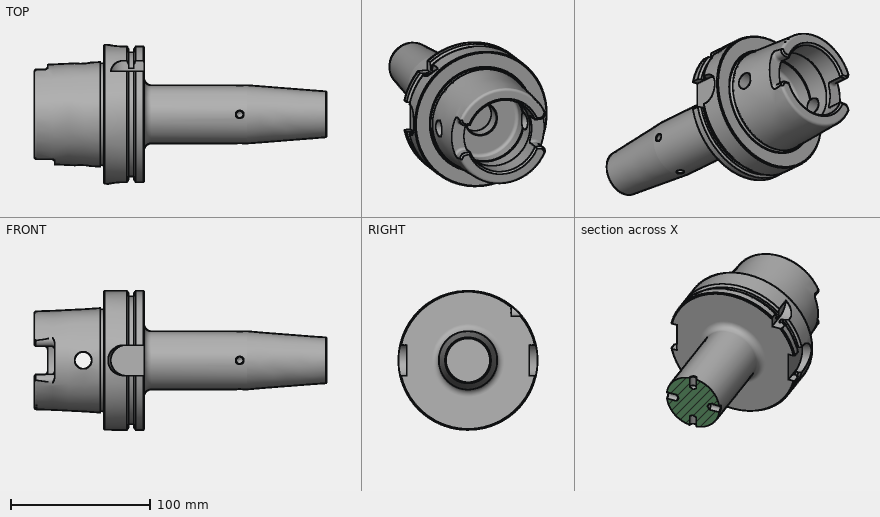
import cadquery as cq
import math


SHANK_LENGTH = 50.0
FLANGE_WIDTH = 29.0
NOSE_LENGTH = 160.0

GAUGE_RADIUS = 37.75
SHANK_TAPER = 0.05
SHANK_EDGE_RADIUS = 2.0
RELIEF_WIDTH = 2.5
RELIEF_RADIUS = 36.7
FACE_RECESS_RADIUS = 39.0
FACE_RECESS_DEPTH = 0.4
RELIEF_FILLET = 1.3

FLANGE_RADIUS = 50.0
FLANGE_CHAMFER = 0.8
GROOVE_CENTER = 19.7
GROOVE_FLOOR_WIDTH = 3.8
GROOVE_MOUTH_WIDTH = 6.4
GROOVE_RADIUS = 46.0
GROOVE_BEVEL_RADIUS = 48.0

BODY_RADIUS = 21.0
TIP_RADIUS = 16.5
TIP_TAPER_ANGLE = 4.5
TIP_CHAMFER = 0.8
ROOT_FILLET = 5.0

MOUTH_RADIUS = 26.5
MOUTH_CHAMFER = 1.5
CLAMP_EDGE_DEPTH = 18.6
CLAMP_ANGLE = 60.0
CLAMP_RADIUS = 28.2
CLAMP_END_DEPTH = 37.0
CLAMP_END_CHAMFER = 0.5
BORE_DEPTH = 50.0
BORE_FLOOR_FILLET = 2.5
COOLANT_RADIUS = 11.6
COOLANT_CHAMFER = 0.5
COOLANT_DEPTH = 62.0

SLOT_HALF_WIDTH = 10.0
SLOT_INNER_Y = 20.0
SLOT_OUTER_Y = 45.0
SLOT_LIP_RADIUS = 4.5
SLOT_LIP_CENTER_Y = 27.8
SLOT_LIP_LEAN = 28.0
SLOT_TOP_Z = 24.0
SLOT_FLOOR_FILLET = 2.0
SLOT_MOUTH_FLARE = 1.5
SLOT_MOUTH_LENGTH = 1.2
FRONT_SLOT_DEPTH = 14.7
REAR_SLOT_DEPTH = 9.6

CROSS_HOLE_RADIUS = 6.0
CROSS_HOLE_X = -14.8

KEYWAY_RADIUS = 11.0
KEYWAY_CENTER_X = 16.0
KEYWAY_FLOOR_Y = 44.0
KEYWAY_LEAN = 2.0

NOTCH_WALL_Y = 31.0
NOTCH_FLOOR_Z = 31.8
NOTCH_END_RADIUS = 10.0
NOTCH_END_X = 14.6

RADIAL_HOLE_X = 97.5
RADIAL_HOLE_RADIUS = 2.5
RADIAL_HOLE_DEPTH = 8.0
RADIAL_HOLE_COUNT = 4
RADIAL_HOLE_CHAMFER = 0.5
DRILL_HALF_ANGLE = 59.0

CLEARANCE = 5.0


def revolve_about_x(profile):
    return profile.close().revolve(360, (0, 0, 0), (1, 0, 0))


def make_body():
    shoulder_radius = GAUGE_RADIUS - SHANK_TAPER * (SHANK_LENGTH - SHANK_EDGE_RADIUS)
    relief_start_radius = GAUGE_RADIUS - SHANK_TAPER * RELIEF_WIDTH
    taper_length = (BODY_RADIUS - TIP_RADIUS) / math.tan(math.radians(TIP_TAPER_ANGLE))
    tip_edge_radius = TIP_RADIUS + TIP_CHAMFER * math.tan(math.radians(TIP_TAPER_ANGLE))
    half_floor = GROOVE_FLOOR_WIDTH / 2
    half_mouth = GROOVE_MOUTH_WIDTH / 2
    profile = (
        cq.Workplane("XY")
        .moveTo(-SHANK_LENGTH, 0)
        .lineTo(-SHANK_LENGTH, shoulder_radius - SHANK_EDGE_RADIUS)
        .radiusArc((-SHANK_LENGTH + SHANK_EDGE_RADIUS, shoulder_radius), SHANK_EDGE_RADIUS)
        .lineTo(-RELIEF_WIDTH, relief_start_radius)
        .lineTo(-RELIEF_WIDTH, RELIEF_RADIUS)
        .lineTo(FACE_RECESS_DEPTH - RELIEF_FILLET, RELIEF_RADIUS)
        .radiusArc((FACE_RECESS_DEPTH, RELIEF_RADIUS + RELIEF_FILLET), -RELIEF_FILLET)
        .lineTo(0, FACE_RECESS_RADIUS)
        .lineTo(0, FLANGE_RADIUS - FLANGE_CHAMFER)
        .lineTo(FLANGE_CHAMFER, FLANGE_RADIUS)
        .lineTo(GROOVE_CENTER - half_mouth, FLANGE_RADIUS)
        .lineTo(GROOVE_CENTER - half_floor, GROOVE_BEVEL_RADIUS)
        .lineTo(GROOVE_CENTER - half_floor, GROOVE_RADIUS)
        .lineTo(GROOVE_CENTER + half_floor, GROOVE_RADIUS)
        .lineTo(GROOVE_CENTER + half_floor, GROOVE_BEVEL_RADIUS)
        .lineTo(GROOVE_CENTER + half_mouth, FLANGE_RADIUS)
        .lineTo(FLANGE_WIDTH - FLANGE_CHAMFER, FLANGE_RADIUS)
        .lineTo(FLANGE_WIDTH, FLANGE_RADIUS - FLANGE_CHAMFER)
        .lineTo(FLANGE_WIDTH, BODY_RADIUS + ROOT_FILLET)
        .radiusArc((FLANGE_WIDTH + ROOT_FILLET, BODY_RADIUS), -ROOT_FILLET)
        .lineTo(NOSE_LENGTH - taper_length, BODY_RADIUS)
        .lineTo(NOSE_LENGTH - TIP_CHAMFER, tip_edge_radius)
        .lineTo(NOSE_LENGTH, TIP_RADIUS - TIP_CHAMFER)
        .lineTo(NOSE_LENGTH, 0)
    )
    return revolve_about_x(profile)


def make_bore():
    end_x = -SHANK_LENGTH
    clamp_x = end_x + CLAMP_EDGE_DEPTH
    clamp_end_x = end_x + CLAMP_END_DEPTH
    inner_radius = CLAMP_RADIUS - CLAMP_END_CHAMFER
    floor_x = end_x + BORE_DEPTH
    clamp_length = (CLAMP_RADIUS - MOUTH_RADIUS) / math.tan(math.radians(CLAMP_ANGLE))
    profile = (
        cq.Workplane("XY")
        .moveTo(end_x, 0)
        .lineTo(end_x, MOUTH_RADIUS + MOUTH_CHAMFER)
        .lineTo(end_x + MOUTH_CHAMFER, MOUTH_RADIUS)
        .lineTo(clamp_x, MOUTH_RADIUS)
        .lineTo(clamp_x + clamp_length, CLAMP_RADIUS)
        .lineTo(clamp_end_x, CLAMP_RADIUS)
        .lineTo(clamp_end_x + CLAMP_END_CHAMFER, inner_radius)
        .lineTo(floor_x - BORE_FLOOR_FILLET, inner_radius)
        .radiusArc((floor_x, inner_radius - BORE_FLOOR_FILLET), BORE_FLOOR_FILLET)
        .lineTo(floor_x, COOLANT_RADIUS + COOLANT_CHAMFER)
        .lineTo(floor_x + COOLANT_CHAMFER, COOLANT_RADIUS)
        .lineTo(end_x + COOLANT_DEPTH, COOLANT_RADIUS)
        .lineTo(end_x + COOLANT_DEPTH, 0)
    )
    return revolve_about_x(profile)


def slot_outline():
    """Slot section on the +Y side: parallel walls that round over into leaning flanks."""

    def lip_point(angle):
        turn = math.radians(angle)
        y = SLOT_LIP_CENTER_Y + SLOT_LIP_RADIUS * math.cos(turn)
        z = SLOT_HALF_WIDTH + SLOT_LIP_RADIUS * (1 + math.sin(turn))
        return y, z

    def mirrored(point):
        return point[0], -point[1]

    lip_start = (SLOT_LIP_CENTER_Y, SLOT_HALF_WIDTH)
    lip_middle = lip_point((SLOT_LIP_LEAN - 90) / 2)
    lip_end = lip_point(SLOT_LIP_LEAN)
    flank_run = (SLOT_TOP_Z - lip_end[1]) * math.tan(math.radians(SLOT_LIP_LEAN))
    flank_end = (lip_end[0] - flank_run, SLOT_TOP_Z)
    return (
        cq.Workplane("YZ", origin=(-SHANK_LENGTH, 0, 0))
        .moveTo(SLOT_INNER_Y, -SLOT_HALF_WIDTH)
        .lineTo(*mirrored(lip_start))
        .threePointArc(mirrored(lip_middle), mirrored(lip_end))
        .lineTo(*mirrored(flank_end))
        .lineTo(SLOT_OUTER_Y, -SLOT_TOP_Z)
        .lineTo(SLOT_OUTER_Y, SLOT_TOP_Z)
        .lineTo(*flank_end)
        .lineTo(*lip_end)
        .threePointArc(lip_middle, lip_start)
        .lineTo(SLOT_INNER_Y, SLOT_HALF_WIDTH)
        .close()
    )


def make_drive_slot(depth):
    slot = slot_outline().extrude(depth).faces(">X").edges().fillet(SLOT_FLOOR_FILLET)
    flare_angle = math.degrees(math.atan2(SLOT_MOUTH_FLARE, SLOT_MOUTH_LENGTH))
    mouth = slot_outline().offset2D(SLOT_MOUTH_FLARE).extrude(SLOT_MOUTH_LENGTH, taper=flare_angle)
    return slot.union(mouth)


def make_cross_hole():
    return (
        cq.Workplane("XZ")
        .center(CROSS_HOLE_X, 0)
        .circle(CROSS_HOLE_RADIUS)
        .extrude(FLANGE_RADIUS, both=True)
    )


def make_keyway():
    """Flat-floored keyway on the -Y side, open at the back of the flange."""
    open_end = FLANGE_WIDTH + CLEARANCE
    floor = (
        cq.Workplane("XZ", origin=(0, -KEYWAY_FLOOR_Y, 0))
        .moveTo(open_end, -KEYWAY_RADIUS)
        .lineTo(KEYWAY_CENTER_X, -KEYWAY_RADIUS)
        .threePointArc((KEYWAY_CENTER_X - KEYWAY_RADIUS, 0), (KEYWAY_CENTER_X, KEYWAY_RADIUS))
        .lineTo(open_end, KEYWAY_RADIUS)
        .close()
    )
    sweep = cq.Vector(-KEYWAY_LEAN, KEYWAY_FLOOR_Y - FLANGE_RADIUS, 0)
    return cq.Workplane(cq.Solid.extrudeLinear(floor.val(), [], sweep))


def make_corner_notch():
    """Notch in the +Y +Z corner of the flange, with a floor that curves up at its end."""
    top = NOTCH_FLOOR_Z + NOTCH_END_RADIUS
    bend = NOTCH_END_RADIUS * math.sin(math.radians(45))
    return (
        cq.Workplane("XZ", origin=(0, NOTCH_WALL_Y, 0))
        .moveTo(FLANGE_WIDTH + CLEARANCE, NOTCH_FLOOR_Z)
        .lineTo(NOTCH_END_X, NOTCH_FLOOR_Z)
        .threePointArc((NOTCH_END_X - bend, top - bend), (NOTCH_END_X - NOTCH_END_RADIUS, top))
        .lineTo(FLANGE_WIDTH + CLEARANCE, top)
        .close()
        .extrude(NOTCH_WALL_Y - FLANGE_RADIUS)
    )


def make_radial_hole():
    """Drilled hole on the +Z side of the nose, chamfered at its mouth."""
    floor_z = BODY_RADIUS - RADIAL_HOLE_DEPTH
    point_z = floor_z - RADIAL_HOLE_RADIUS / math.tan(math.radians(DRILL_HALF_ANGLE))
    mouth_radius = RADIAL_HOLE_RADIUS + RADIAL_HOLE_CHAMFER
    return (
        cq.Workplane("XZ", origin=(RADIAL_HOLE_X, 0, 0))
        .moveTo(0, point_z)
        .lineTo(RADIAL_HOLE_RADIUS, floor_z)
        .lineTo(RADIAL_HOLE_RADIUS, BODY_RADIUS - RADIAL_HOLE_CHAMFER)
        .lineTo(mouth_radius, BODY_RADIUS)
        .lineTo(0, BODY_RADIUS)
        .close()
        .revolve(360, (0, 0, 0), (0, 1, 0))
    )


def turned_about_x(shape, angle):
    return shape.rotate((0, 0, 0), (1, 0, 0), angle)


result = make_body().cut(make_bore())
result = result.cut(turned_about_x(make_drive_slot(FRONT_SLOT_DEPTH), 180))
result = result.cut(make_drive_slot(REAR_SLOT_DEPTH))
result = result.cut(make_cross_hole())
for angle in (0, 180):
    result = result.cut(turned_about_x(make_keyway(), angle))
result = result.cut(make_corner_notch())
for index in range(RADIAL_HOLE_COUNT):
    result = result.cut(turned_about_x(make_radial_hole(), 360 * index / RADIAL_HOLE_COUNT))